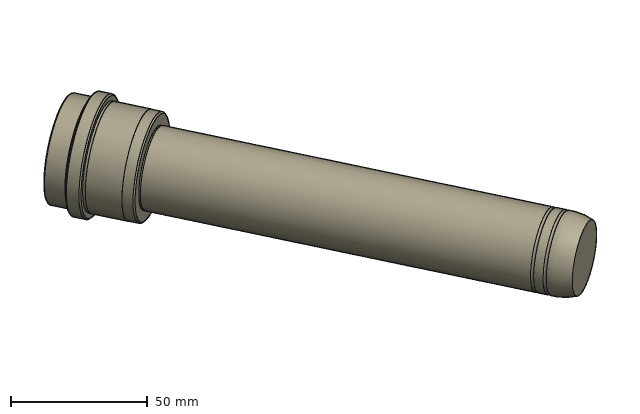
import cadquery as cq

length = 201.0
head_radius = 42.0 / 2
flange_radius = 47.0 / 2
shaft_radius = 32.0 / 2

end_chamfer = 0.5
flange_start = 9.0
flange_width = 6.0
flange_end = flange_start + flange_width
flange_chamfer = 0.6
head_end = 35.0
head_chamfer = 0.6
lead_length = 4.8
lead_start = head_end - lead_length
lead_relief = 0.1

front_relief_width = 0.8
back_relief_width = 1.0
neck_relief_width = 0.6
relief_depth = 0.2

groove_starts = (185.5, 190.3)
groove_width = 1.2
groove_depth = 0.5
tip_length = 7.2
tip_start = length - tip_length
tip_end_radius = 14.3
tip_bulge = 0.5


def cylinder(start, end, radius):
    return cq.Workplane("YZ").workplane(offset=start).circle(radius).extrude(end - start)


def revolve_about_axis(outline):
    return outline.close().revolve(360, (0, 0, 0), (1, 0, 0))


def round_groove(start, width, surface_radius, depth):
    """Ring to cut away: an arc-bottomed groove sunk into a cylinder of surface_radius."""
    bottom = (start + width / 2, surface_radius - depth)
    outline = (
        cq.Workplane("XY")
        .moveTo(start, surface_radius)
        .threePointArc(bottom, (start + width, surface_radius))
        .lineTo(start + width, surface_radius + depth)
        .lineTo(start, surface_radius + depth)
    )
    return revolve_about_axis(outline)


def make_head():
    lead_radius = head_radius - lead_relief
    seat = cylinder(0, lead_start, head_radius).faces("<X").chamfer(end_chamfer)
    seat = seat.cut(round_groove(flange_start - front_relief_width, front_relief_width, head_radius, relief_depth))
    seat = seat.cut(round_groove(flange_end, back_relief_width, head_radius, relief_depth))
    lead = cylinder(lead_start, head_end, lead_radius).faces(">X").chamfer(head_chamfer)
    flange = cylinder(flange_start, flange_end, flange_radius).faces("<X or >X").chamfer(flange_chamfer)
    return seat.union(lead).union(flange)


def make_shaft():
    tip_middle = (tip_start + tip_length / 2, (shaft_radius + tip_end_radius) / 2 + tip_bulge)
    outline = (
        cq.Workplane("XY")
        .moveTo(head_end, 0)
        .lineTo(head_end, shaft_radius)
        .lineTo(tip_start, shaft_radius)
        .threePointArc(tip_middle, (length, tip_end_radius))
        .lineTo(length, 0)
    )
    shaft = revolve_about_axis(outline)
    shaft = shaft.cut(round_groove(head_end, neck_relief_width, shaft_radius, relief_depth))
    for start in groove_starts:
        shaft = shaft.cut(round_groove(start, groove_width, shaft_radius, groove_depth))
    return shaft


result = make_head().union(make_shaft()).translate((-length / 2, 0, 0))